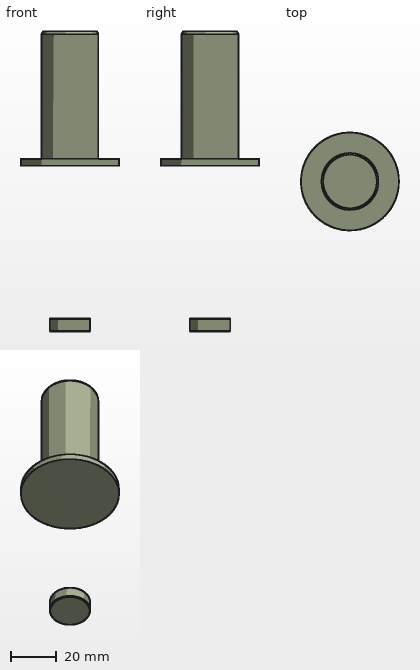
import cadquery as cq

total_height = 131.5

flange_diameter = 43.0
flange_thickness = 3.0
shaft_diameter = 25.0
pin_height = 58.9
shaft_chamfer_height = 1.3
shaft_chamfer_width = 0.8

disc_diameter = 17.8
disc_thickness = 5.9
disc_chamfer_height = 0.5
disc_chamfer_width = 0.3


def make_pin():
    """Round shaft with a chamfered top, standing on a thin flange."""
    flange_bottom = total_height - pin_height
    shaft_length = pin_height - flange_thickness
    flange = (
        cq.Workplane("XY", origin=(0, 0, flange_bottom))
        .circle(flange_diameter / 2)
        .extrude(flange_thickness)
    )
    shaft = (
        cq.Workplane("XY", origin=(0, 0, flange_bottom + flange_thickness))
        .circle(shaft_diameter / 2)
        .extrude(shaft_length)
        .faces(">Z")
        .edges()
        .chamfer(shaft_chamfer_height, shaft_chamfer_width)
    )
    return flange.union(shaft)


def make_disc():
    """Plain disc with both rims chamfered."""
    return (
        cq.Workplane("XY")
        .circle(disc_diameter / 2)
        .extrude(disc_thickness)
        .faces("<Z or >Z")
        .edges()
        .chamfer(disc_chamfer_height, disc_chamfer_width)
    )


pin = make_pin()
disc = make_disc()

result = cq.Compound.makeCompound([pin.val(), disc.val()])